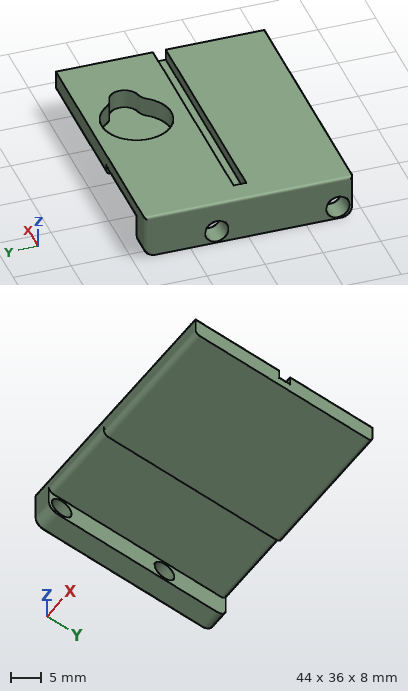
import cadquery as cq
import math

length = 44.0
width = 36.0
height = 8.0
lip_thickness = 4.0
lip_corner_radius = 2.0
face_edge_radius = 0.5

thin_plate = 3.0
thick_plate = 4.0
step_x = 19.0
plate_edge_radius = 1.0

slot_start_x = 4.0
slot_width = 2.2
slot_center_y = 0.15
slot_depth = 2.0

hole_diameter = 4.0
hole_z = 2.5
hole_positions_y = (5.5, -15.4)

keyhole_x = 26.95
keyhole_y = 10.0
keyhole_radius = 12.0 / 2
neck_radius = 2.5
neck_offset = 6.0
neck_blend_radius = 2.5
keyhole_depth = 3.4


def rounded_bar(x_start, x_end, thickness, corner_radius):
    """Bar along X, flush with the top face, with rounded lower long edges."""
    bar = cq.Workplane("XY", origin=(x_start, 0, height - thickness)).box(
        x_end - x_start, width, thickness, centered=(False, True, False)
    )
    return bar.edges("|X and <Z").fillet(corner_radius)


def keyhole_pocket():
    """Round pocket with a blended neck towards +X."""
    head_distance = keyhole_radius + neck_blend_radius
    neck_distance = neck_radius + neck_blend_radius
    blend_x = (head_distance**2 - neck_distance**2 + neck_offset**2) / (2 * neck_offset)
    blend_y = math.sqrt(head_distance**2 - blend_x**2)

    head_x = blend_x * keyhole_radius / head_distance
    head_y = blend_y * keyhole_radius / head_distance
    neck_x = neck_offset + (blend_x - neck_offset) * neck_radius / neck_distance
    neck_y = blend_y * neck_radius / neck_distance
    chord_x = (head_x + neck_x) / 2 - blend_x
    chord_y = (head_y + neck_y) / 2 - blend_y
    chord_distance = math.hypot(chord_x, chord_y)
    middle_x = blend_x + chord_x * neck_blend_radius / chord_distance
    middle_y = blend_y + chord_y * neck_blend_radius / chord_distance

    return (
        cq.Workplane("XY", origin=(keyhole_x, keyhole_y, height))
        .moveTo(head_x, head_y)
        .threePointArc((-keyhole_radius, 0), (head_x, -head_y))
        .threePointArc((middle_x, -middle_y), (neck_x, -neck_y))
        .threePointArc((neck_offset + neck_radius, 0), (neck_x, neck_y))
        .threePointArc((middle_x, middle_y), (head_x, head_y))
        .close()
        .extrude(-keyhole_depth)
    )


def slot():
    """Groove in the top face, open at the far end."""
    return cq.Workplane("XY", origin=(slot_start_x, slot_center_y, height - slot_depth)).box(
        length - slot_start_x, slot_width, slot_depth, centered=(False, True, False)
    )


def lip():
    """End lip with rounded lower corners, softened outer face and two holes."""
    body = rounded_bar(0, lip_thickness, height, lip_corner_radius)
    body = body.faces("<X").edges().fillet(face_edge_radius)
    holes = (
        cq.Workplane("YZ")
        .pushPoints([(y, hole_z) for y in hole_positions_y])
        .circle(hole_diameter / 2)
        .extrude(lip_thickness)
    )
    return body.cut(holes)


plate = rounded_bar(lip_thickness, step_x, thin_plate, plate_edge_radius).union(
    rounded_bar(step_x, length, thick_plate, plate_edge_radius)
)
result = lip().union(plate).cut(slot()).cut(keyhole_pocket())